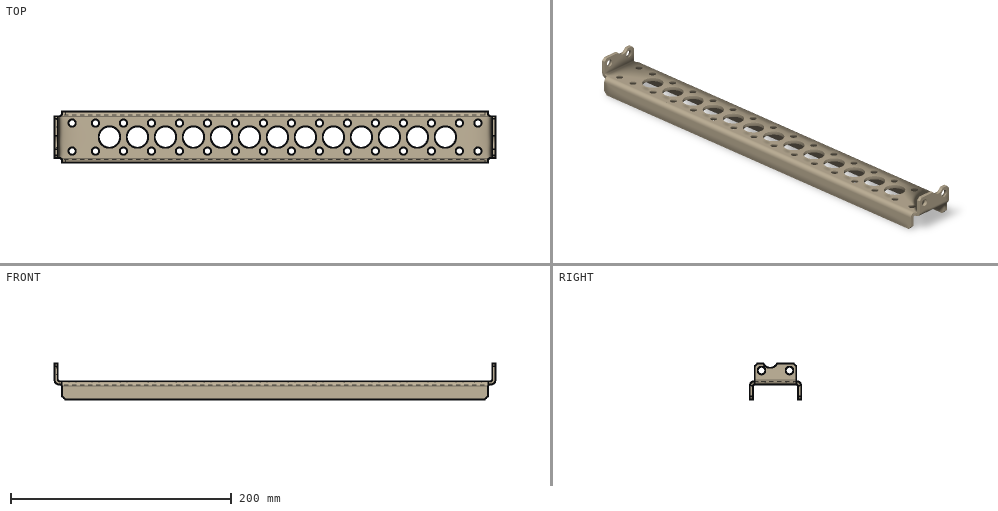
import cadquery as cq
length = 400.0
width = 47.0
height = 33.0
sheet = 3.2
bend_inner = 1.2
bend_outer = bend_inner + sheet

plate_top = 17.0
plate_bottom = plate_top - sheet
bend_bottom = plate_bottom - bend_inner
tab_width = width - 2 * bend_outer
half_length = length / 2
plate_end = half_length - bend_outer

flange_inset = 7.0
relief_radius = 2.5
flange_corner_chamfer = 3.2

tab_corner_chamfer = 2.6
tab_hole_diameter = 7.0
tab_hole_drop = 6.5
notch_chord = 12.5
notch_depth = 3.8
notch_y = -5.0

hole_row_length = 330.0
hole_pairs = 14
hole_pitch = hole_row_length / (hole_pairs - 1)
hole_row_y = (-hole_pitch / 2, hole_pitch / 2)
hole_row_shift = 2.2
small_hole_diameter = 6.5
large_hole_diameter = 19.2
end_hole_x = 184.0


def box_between(x0, x1, y0, y1, z0, z1):
    return cq.Workplane("XY").box(x1 - x0, y1 - y0, z1 - z0, centered=False).translate((x0, y0, z0))


def channel():
    """Plate with a downward flange along each long side, its lower corners chamfered."""
    outer = box_between(-plate_end, plate_end, -width / 2, width / 2, 0, plate_top)
    outer = outer.edges("|X and >Z").fillet(bend_outer)
    inner_half = width / 2 - sheet
    inner = box_between(-plate_end, plate_end, -inner_half, inner_half, 0, plate_bottom)
    inner = inner.edges("|X and >Z").fillet(bend_inner)
    body = outer.cut(inner)
    for side_x in (-1, 1):
        for side_y in (-1, 1):
            body = body.cut(corner_relief(side_x, side_y))
    return body.edges("|Y and <Z").chamfer(flange_corner_chamfer)


def corner_relief(side_x, side_y):
    """Clearance at a plate corner between flange and tab, rounded only where it meets the bend.

    Below the bend the flange ends square.
    """
    relief_x = half_length - flange_inset
    relief = box_between(relief_x, length, tab_width / 2, width, 0, height)
    relief = relief.edges("|Z and <X and <Y").fillet(relief_radius)
    relief = relief.union(box_between(relief_x, length, tab_width / 2, width, 0, bend_bottom))
    if side_x < 0:
        relief = relief.mirror("YZ")
    if side_y < 0:
        relief = relief.mirror("XZ")
    return relief


def end_tabs_strip():
    """Middle strip of the plate with a corner-chamfered tab bent up at each end."""
    blank = box_between(-half_length, half_length, -tab_width / 2, tab_width / 2, plate_bottom, height)
    blank = blank.edges("|Y and <Z").fillet(bend_outer)
    inner_half = half_length - sheet
    opening = box_between(-inner_half, inner_half, -width, width, plate_top, 2 * height)
    opening = opening.edges("|Y and <Z").fillet(bend_inner)
    return blank.edges("|X and >Z").chamfer(tab_corner_chamfer).cut(opening)


def tab_cutters():
    """Cutters running through both tabs: two holes and the shallow arc notch in the top edge."""
    across = cq.Workplane("YZ", origin=(-half_length, 0, 0))
    hole_z = height - tab_hole_drop
    hole_points = [(y, hole_z) for y in hole_row_y]
    holes = across.pushPoints(hole_points).circle(tab_hole_diameter / 2).extrude(length)
    notch_radius = ((notch_chord / 2) ** 2 + notch_depth**2) / (2 * notch_depth)
    notch_z = height - notch_depth + notch_radius
    notch = across.center(notch_y, notch_z).circle(notch_radius).extrude(length)
    return holes.union(notch)


def plate_holes():
    """Cutters for all the holes in the plate."""
    row = [hole_row_shift - hole_row_length / 2 + i * hole_pitch for i in range(hole_pairs)]
    small = [(x, y) for x in row + [-end_hole_x, end_hole_x] for y in hole_row_y]
    large = [(x + hole_pitch / 2, 0) for x in row[:-1]]
    plan = cq.Workplane("XY")
    small_cutters = plan.pushPoints(small).circle(small_hole_diameter / 2).extrude(height)
    large_cutters = plan.pushPoints(large).circle(large_hole_diameter / 2).extrude(height)
    return small_cutters.union(large_cutters)


result = channel().union(end_tabs_strip()).cut(plate_holes()).cut(tab_cutters())